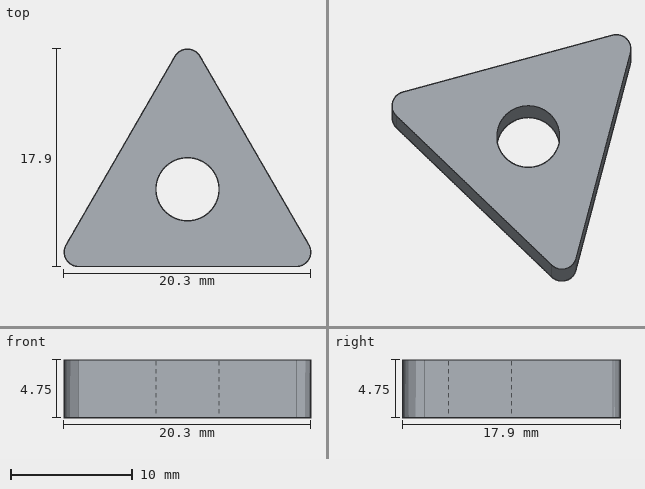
import cadquery as cq
import math

overall_width = 20.25
thickness = 4.75
corner_radius = 1.2
hole_diameter = 5.16

arc_centre_spacing = overall_width - 2 * corner_radius
arc_centre_distance = arc_centre_spacing / math.sqrt(3)

sharp_corner_distance = arc_centre_distance + 2 * corner_radius
corner_angles = [math.radians(angle) for angle in (90, 210, 330)]
sharp_corners = [
    (sharp_corner_distance * math.cos(angle), sharp_corner_distance * math.sin(angle))
    for angle in corner_angles
]

body = cq.Workplane("XY").polyline(sharp_corners).close().extrude(thickness)
body = body.edges("|Z").fillet(corner_radius)

hole = cq.Workplane("XY").circle(hole_diameter / 2).extrude(thickness)

result = body.cut(hole)